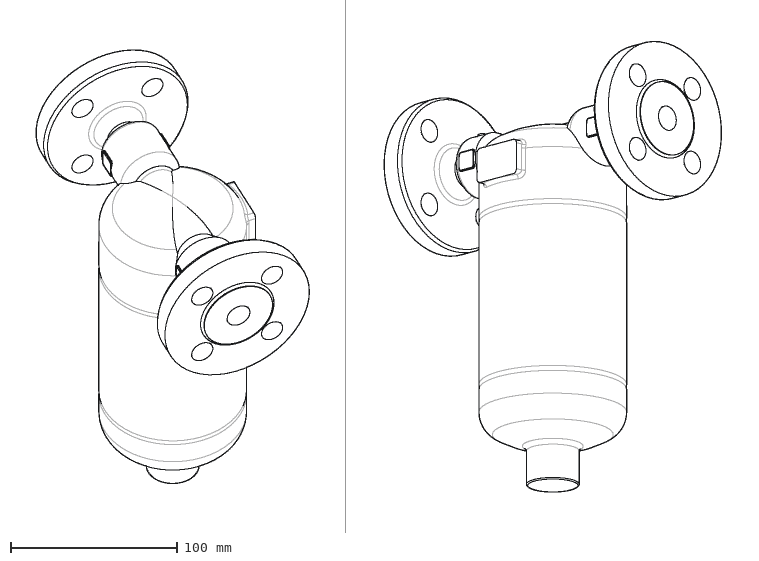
import cadquery as cq
import math


height = 257.5
face_to_face = 198.0

flange_dia = 95.0
flange_thickness = 14.0
flange_chamfer_length = 2.3
flange_chamfer_depth = 1.5
raised_face_dia = 45.0
raised_face_height = 2.0
raised_face_fillet = 1.5
bolt_hole_dia = 14.0
bolt_circle_dia = 65.0
bolt_count = 4
bore_dia = 15.0

hub_dia = 34.2
hub_length = 9.5
hub_fillet = 3.3
neck_dia = 21.6
neck_length = 3.9

socket_dia = 38.0
socket_cone_length = 5.5
socket_edge_fillet = 2.5
inlet_end_x = 27.3
inlet_end_radius = 7.5
inlet_end_drop = 5.2
inlet_root_length = 2.3
outlet_cone_start_x = 36.5
outlet_cone_end_x = 47.5
pipe_dia = 25.8

body_dia = 89.0
cap_rise = 23.5
knuckle_radius = 16.0
lower_cap_z = -164.3
weld_positions = (-44.5, -148.5)
weld_width = 3.0
weld_depth = 0.3
drain_dia = 32.0
drain_fillet = 3.0
drain_chamfer = 0.8

pad_width = 13.0
pad_height = 11.8
pad_corner = 1.5
pad_chamfer = 0.5
pad_rise = 0.3
pad_x = 55.0

plate_width = 34.0
plate_bottom_z = -27.0
plate_top_z = -5.7
plate_face_y = 47.0
plate_corner = 2.5
plate_fillet = 2.3

body_r = body_dia / 2
pipe_r = pipe_dia / 2
neck_r = neck_dia / 2
hub_r = hub_dia / 2
socket_r = socket_dia / 2
flange_r = flange_dia / 2
raised_face_r = raised_face_dia / 2
drain_r = drain_dia / 2
face_x = face_to_face / 2
flange_front_x = face_x - raised_face_height
flange_back_x = flange_front_x - flange_thickness
neck_outer_x = flange_back_x - hub_length
neck_inner_x = neck_outer_x - neck_length
socket_outer_x = neck_inner_x - socket_cone_length
upper_cap_z = pipe_r - cap_rise
drain_end_z = flange_r - height

knuckle_centre_r = body_r - knuckle_radius
crown_radius = (knuckle_centre_r**2 + cap_rise**2 - knuckle_radius**2) / (2 * (cap_rise - knuckle_radius))
crown_angle = math.asin(knuckle_centre_r / (crown_radius - knuckle_radius))


def on_knuckle(angle):
    """Radius and rise of a knuckle point, with the angle taken from the vessel axis."""
    return (
        knuckle_centre_r + knuckle_radius * math.sin(angle),
        knuckle_radius * math.cos(angle),
    )


def on_crown(angle):
    """Radius and rise of a crown point, with the angle taken from the vessel axis."""
    return (
        crown_radius * math.sin(angle),
        cap_rise - crown_radius * (1 - math.cos(angle)),
    )


def ring_edges(axis, station, radius):
    """Select the edges of a circle about an axis, by its station along that axis and its radius."""
    gap = 0.3
    reach = radius + gap
    low, high = station - gap, station + gap
    if axis == "X":
        corners = (low, -reach, -reach), (high, reach, reach)
    else:
        corners = (-reach, -reach, low), (reach, reach, high)
    return cq.selectors.BoxSelector(*corners, boundingbox=True)


def make_vessel():
    """Revolve the body with its dished caps and weld grooves, and add the drain stub."""
    def upper(point):
        return (point[0], upper_cap_z + point[1])

    def lower(point):
        return (point[0], lower_cap_z - point[1])

    knuckle_end = on_knuckle(crown_angle)
    knuckle_middle = on_knuckle((crown_angle + math.pi / 2) / 2)
    crown_middle = on_crown(crown_angle / 2)
    apex = (0, cap_rise)

    outline = (
        cq.Workplane("XZ")
        .moveTo(*lower(apex))
        .threePointArc(lower(crown_middle), lower(knuckle_end))
        .threePointArc(lower(knuckle_middle), (body_r, lower_cap_z))
    )
    for weld_z in sorted(weld_positions):
        outline = (
            outline.lineTo(body_r, weld_z - weld_width / 2)
            .threePointArc((body_r - weld_depth, weld_z), (body_r, weld_z + weld_width / 2))
        )
    vessel = (
        outline.lineTo(body_r, upper_cap_z)
        .threePointArc(upper(knuckle_middle), upper(knuckle_end))
        .threePointArc(upper(crown_middle), upper(apex))
        .close()
        .revolve(360, (0, 0, 0), (0, 1, 0))
    )
    drain_length = lower_cap_z - drain_end_z
    drain = (
        cq.Workplane("XY", origin=(0, 0, drain_end_z))
        .circle(drain_r)
        .extrude(drain_length)
        .faces("<Z")
        .chamfer(drain_chamfer)
    )
    joined = vessel.union(drain)
    _, root_rise = on_crown(math.asin(drain_r / crown_radius))
    return joined.edges(ring_edges("Z", lower_cap_z - root_rise, drain_r)).fillet(drain_fillet)


def make_plate(vessel):
    """Add the rounded nameplate boss and blend it into the vessel."""
    plate = (
        cq.Workplane("XZ")
        .center(0, (plate_bottom_z + plate_top_z) / 2)
        .rect(plate_width, plate_top_z - plate_bottom_z)
        .extrude(-plate_face_y)
        .edges("|Y")
        .fillet(plate_corner)
    )
    margin = plate_corner / 2
    root_edges = cq.selectors.BoxSelector(
        (-plate_width / 2 - margin, body_r / 2, plate_bottom_z - margin),
        (plate_width / 2 + margin, plate_face_y - margin, plate_top_z + margin),
        boundingbox=True,
    )
    joined = vessel.union(plate)
    return joined.edges(root_edges).edges("not |Y").fillet(plate_fillet)


def make_end(socket_points):
    """Complete a +X pipe end, revolving the pipe, socket, weld neck and flange together."""
    end = (
        socket_points
        .lineTo(socket_outer_x, socket_r)
        .lineTo(neck_inner_x, neck_r)
        .lineTo(neck_outer_x, neck_r)
        .lineTo(flange_back_x, hub_r)
        .lineTo(flange_back_x, flange_r - flange_chamfer_depth)
        .lineTo(flange_back_x + flange_chamfer_length, flange_r)
        .lineTo(flange_front_x, flange_r)
        .lineTo(flange_front_x, raised_face_r + raised_face_fillet)
        .radiusArc((flange_front_x + raised_face_fillet, raised_face_r), raised_face_fillet)
        .lineTo(face_x, raised_face_r)
        .lineTo(face_x, 0)
        .close()
        .revolve(360, (0, 0, 0), (1, 0, 0))
    )
    end = end.edges(ring_edges("X", socket_outer_x, socket_r)).fillet(socket_edge_fillet)
    end = end.edges(ring_edges("X", flange_back_x, hub_r)).fillet(hub_fillet)

    pads = (
        cq.Workplane("XZ")
        .center(pad_x, 0)
        .rect(pad_width, pad_height)
        .extrude(socket_r + pad_rise, both=True)
        .edges("|Y")
        .fillet(pad_corner)
        .faces("<Y or >Y")
        .chamfer(pad_chamfer)
    )
    bolt_holes = (
        cq.Workplane("YZ", origin=(flange_back_x, 0, 0))
        .polarArray(bolt_circle_dia / 2, 180 / bolt_count, 360, bolt_count)
        .circle(bolt_hole_dia / 2)
        .extrude(flange_thickness)
    )
    return end.union(pads).cut(bolt_holes)


def make_outlet():
    """The outlet socket tapers down to the pipe through a cone."""
    outline = (
        cq.Workplane("XY")
        .lineTo(0, pipe_r)
        .lineTo(outlet_cone_start_x, pipe_r)
        .lineTo(outlet_cone_end_x, socket_r)
    )
    return make_end(outline)


def make_inlet():
    """The inlet socket ends in a rounded shoulder blended into the pipe."""
    root_x = inlet_end_x - inlet_root_length
    shoulder_length = math.sqrt(inlet_end_drop * (2 * inlet_end_radius - inlet_end_drop))
    outline = (
        cq.Workplane("XY")
        .lineTo(0, pipe_r)
        .lineTo(root_x, pipe_r)
        .tangentArcPoint((inlet_end_x, socket_r - inlet_end_drop), relative=False)
        .radiusArc((inlet_end_x + shoulder_length, socket_r), inlet_end_radius)
    )
    return make_end(outline).mirror("YZ")


def make_bores():
    """Blind bores from both flange faces to the inner ends of the weld necks."""
    depth = face_x - neck_inner_x
    bore = cq.Workplane("YZ", origin=(neck_inner_x, 0, 0)).circle(bore_dia / 2).extrude(depth)
    return bore.union(bore.mirror("YZ"))


vessel = make_plate(make_vessel())
result = vessel.union(make_outlet()).union(make_inlet()).cut(make_bores())